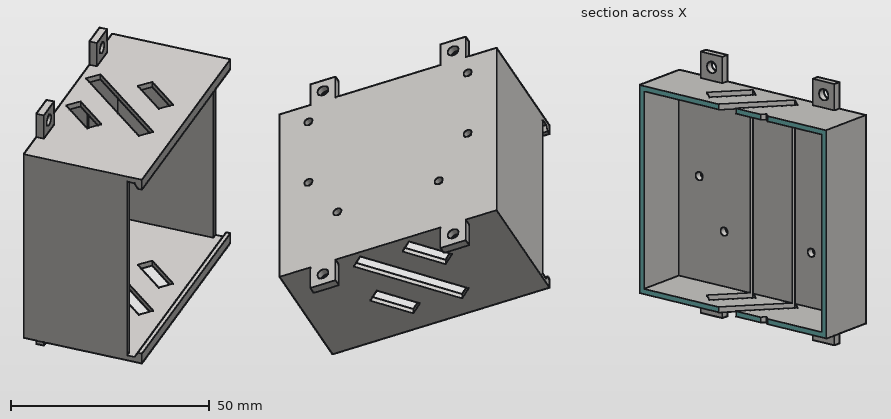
import cadquery as cq

total_depth = 32.0
width = 60.0
total_height = 69.0
side_depth = 28.0

floor_thickness = 2.1
wall_thickness = 1.5

tab_size = 7.0
tab_spacing = 36.0
tab_hole_diameter = 3.0
height = total_height - 2 * tab_size

hook_drop = 1.45
hook_root_length = 2.0
hook_tip_length = 1.1

screw_hole_diameter = 2.2
screw_hole_pairs = [(44.0, 22.0), (44.0, 1.5), (28.0, -11.5)]

slot_angle = -41.7
slot_width = 4.1
slot_centre_x = 14.0
slot_pitch = 10.1
long_slot = 29.75
short_slot = 11.8
slots = [(-slot_pitch, short_slot), (0, long_slot), (slot_pitch, short_slot)]


def make_tray():
    """Floor and four walls, open towards +X, with the Y walls cut back."""
    tray = cq.Workplane("XY").box(total_depth, width, height, centered=(False, True, True))
    inner_height = height - 2 * wall_thickness
    cavity = (
        cq.Workplane("XY", origin=(floor_thickness, 0, 0))
        .box(total_depth, width - 2 * wall_thickness, inner_height, centered=(False, True, True))
    )
    mouth = (
        cq.Workplane("XY", origin=(side_depth, 0, 0))
        .box(total_depth, width, inner_height, centered=(False, True, True))
    )
    return tray.cut(cavity).cut(mouth)


def make_hook():
    """Full-width hook on the inside of the top wall, its inner flank sloping towards the mouth."""
    wall_face = height / 2 - wall_thickness
    tip = wall_face - hook_drop
    return (
        cq.Workplane("XZ")
        .moveTo(total_depth - hook_root_length, wall_face)
        .lineTo(total_depth - hook_root_length, height / 2)
        .lineTo(total_depth, height / 2)
        .lineTo(total_depth, tip)
        .lineTo(total_depth - hook_tip_length, tip)
        .close()
        .extrude(width / 2, both=True)
    )


def make_tabs():
    """Four drilled tabs standing out of the floor, two above and two below."""
    tab_z = (height + tab_size) / 2
    centres = [(y, z) for y in (-tab_spacing / 2, tab_spacing / 2) for z in (-tab_z, tab_z)]
    blanks = cq.Workplane("YZ").pushPoints(centres).rect(tab_size, tab_size).extrude(floor_thickness)
    holes = cq.Workplane("YZ").pushPoints(centres).circle(tab_hole_diameter / 2).extrude(floor_thickness)
    return blanks.cut(holes)


def make_screw_holes():
    """Cutters for the pairs of screw holes through the floor."""
    centres = [(side * spacing / 2, z) for spacing, z in screw_hole_pairs for side in (-1, 1)]
    return cq.Workplane("YZ").pushPoints(centres).circle(screw_hole_diameter / 2).extrude(floor_thickness)


def make_slots():
    """Cutters for the parallel slots, tilted about the middle of the walls."""
    cutters = cq.Workplane("XY")
    for offset, length in slots:
        slot = cq.Workplane("XY", origin=(0, offset, 0)).box(length, slot_width, height)
        cutters = cutters.add(slot)
    tilted = cutters.combine().rotate((0, 0, 0), (0, 0, 1), slot_angle)
    return tilted.translate((slot_centre_x, 0, 0))


hook = make_hook()
result = (
    make_tray()
    .union(hook)
    .union(hook.mirror("XY"))
    .union(make_tabs())
    .cut(make_screw_holes())
    .cut(make_slots())
)